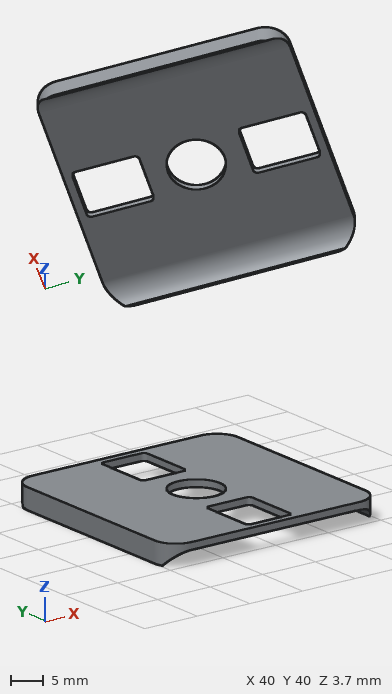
import cadquery as cq

side = 40.0
height = 3.7
corner_radius = 4.0

plate_thickness = 1.3
cove_radius = corner_radius

bore_diameter = 9.0
window_width = 8.5
window_length = 10.65
window_corner_radius = 0.7
window_edge_margin = 1.45
window_offset = side / 2 - window_edge_margin - window_length / 2


def rounded_block():
    """Square block with rounded vertical corners, its top face at Z = height."""
    block = cq.Workplane("XY").rect(side, side).extrude(height)
    return block.edges("|Z").fillet(corner_radius)


def underside_channel():
    """Channel along Y whose flat roof curves down in a cove to each side lip."""
    roof_z = height - plate_thickness
    channel_width = side
    depth_below_roof = 2 * cove_radius
    channel = cq.Workplane("XY").box(
        channel_width, side, depth_below_roof, centered=(True, True, False)
    )
    channel = channel.translate((0, 0, roof_z - depth_below_roof))
    return channel.edges("|Y and >Z").fillet(cove_radius)


def window(center_y):
    """Rectangular opening with rounded corners."""
    opening = cq.Workplane("XY").center(0, center_y).rect(window_width, window_length).extrude(height)
    return opening.edges("|Z").fillet(window_corner_radius)


bore = cq.Workplane("XY").circle(bore_diameter / 2).extrude(height)

result = rounded_block().cut(underside_channel()).cut(bore)
for center_y in (-window_offset, window_offset):
    result = result.cut(window(center_y))